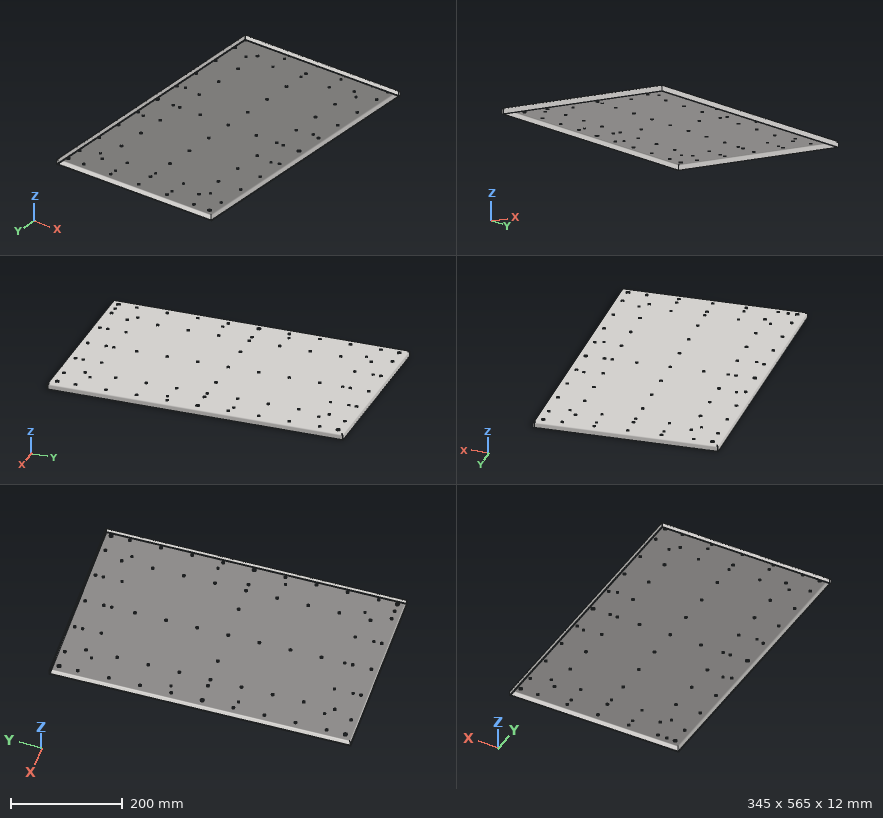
import cadquery as cq

WIDTH = 345.0
LENGTH = 565.0
HEIGHT = 12.0

SHEET = 2.0
BEND_RADIUS = 4.0

CORNER_HOLE = 7.0
LARGE_HOLE = 4.8
SMALL_HOLE = 4.0

MOUNT_X = 157.5
GUIDE_X = 142.5
OUTER_X = 122.5
MIDDLE_X = 108.0
INNER_X = 62.5

END_Y = 268.0
BRACKET_Y = 253.0
SUPPORT_Y = 218.0
GUIDE_Y = 63.0
PITCH = 58.0
GRID_ROWS = 4

EARTH_X = -140.5


def mirrored(x, y):
    """List the distinct reflections of (x, y) about both centre lines."""
    return [(sx, sy) for sx in sorted({-x, x}) for sy in sorted({-y, y})]


def folded_panel():
    """Tray open at the bottom, with rounded folds along the four top edges."""
    outer = (
        cq.Workplane("XY")
        .box(WIDTH, LENGTH, HEIGHT, centered=(True, True, False))
        .faces(">Z").edges().fillet(BEND_RADIUS)
    )
    inner = (
        cq.Workplane("XY")
        .box(WIDTH - 2 * SHEET, LENGTH - 2 * SHEET, HEIGHT - SHEET, centered=(True, True, False))
        .faces(">Z").edges().fillet(BEND_RADIUS - SHEET)
    )
    return outer.cut(inner)


def drill(panel, points, diameter):
    """Cut round holes right through the top sheet."""
    drills = cq.Workplane("XY").pushPoints(points).circle(diameter / 2).extrude(HEIGHT)
    return panel.cut(drills)


corner_points = mirrored(MOUNT_X, END_Y) + mirrored(MOUNT_X, 0)

large_points = [(EARTH_X, -END_Y)] + mirrored(MIDDLE_X, 0)
for row in range(1, GRID_ROWS + 1):
    for x in (MOUNT_X, MIDDLE_X, 0):
        large_points += mirrored(x, row * PITCH)
for y in (END_Y, 0):
    for x in (OUTER_X, INNER_X, 0):
        large_points += mirrored(x, y)

small_points = mirrored(GUIDE_X, GUIDE_Y) + mirrored(INNER_X, BRACKET_Y)
for x in (OUTER_X, INNER_X, 0):
    small_points += mirrored(x, SUPPORT_Y)

panel = folded_panel()
panel = drill(panel, corner_points, CORNER_HOLE)
panel = drill(panel, large_points, LARGE_HOLE)
result = drill(panel, small_points, SMALL_HOLE)